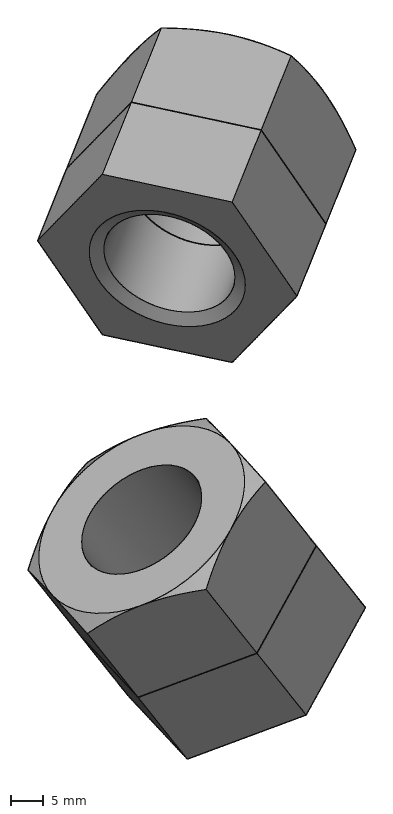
import cadquery as cq
import math

across_flats = 36.0
across_corners = across_flats / math.cos(math.radians(30))

spacer_length = 15.8
body_gap = 0.1
nut_length = 17.9
nut_start = spacer_length + body_gap
total_length = nut_start + nut_length

bore_diameter = 21.0
countersink_diameter = 25.0
countersink_angle = 60.0

chamfer_circle_diameter = across_flats
chamfer_angle = 30.0
corner_clearance = 1.0


def hex_sleeve(start_y, length):
    """Bored hexagonal prism with corners on +X and -X, running from start_y toward +Y."""
    front_plane = cq.Workplane("XZ", origin=(0, start_y, 0))
    return (
        front_plane
        .polygon(6, across_corners)
        .circle(bore_diameter / 2)
        .extrude(-length)
    )


def revolved_about_y(profile_points):
    """Solid of revolution about Y from (radius, y) points."""
    return cq.Workplane("XY").polyline(profile_points).close().revolve(360, (0, 0), (0, 1))


def countersink_cone():
    """Cone that opens the bore at the front face."""
    outer_radius = countersink_diameter / 2
    cone_height = outer_radius / math.tan(math.radians(countersink_angle))
    return revolved_about_y([(0, 0), (outer_radius, 0), (0, cone_height)])


def nut_chamfer_envelope():
    """Round blank, tapered at the back end, that trims the corners of the nut."""
    end_radius = chamfer_circle_diameter / 2
    outer_radius = across_corners / 2 + corner_clearance
    taper_length = (outer_radius - end_radius) * math.tan(math.radians(chamfer_angle))
    return revolved_about_y([
        (0, 0),
        (outer_radius, 0),
        (outer_radius, total_length - taper_length),
        (end_radius, total_length),
        (0, total_length),
    ])


spacer = hex_sleeve(0, spacer_length).cut(countersink_cone())

nut = hex_sleeve(nut_start, nut_length).intersect(nut_chamfer_envelope())

result = cq.Compound.makeCompound([spacer.val(), nut.val()])